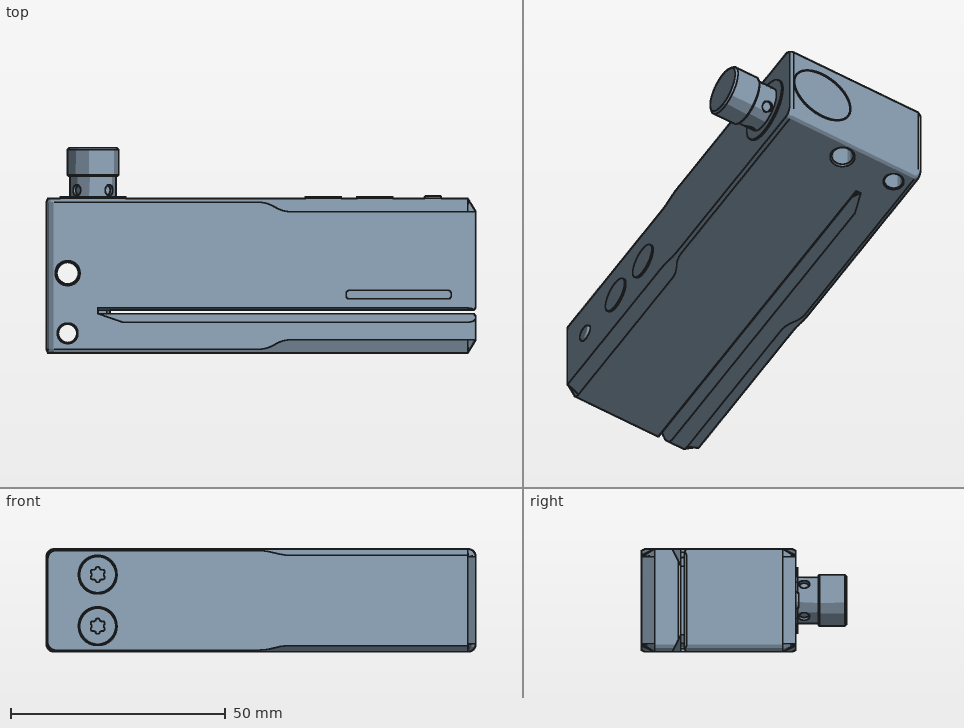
import cadquery as cq
import math


LENGTH = 100.0
WIDTH = 36.0
HEIGHT = 24.0
HALF_HEIGHT = HEIGHT / 2
LEFT_RADIUS = 2.0
TIP_RADIUS = 1.9
LEFT_BEVEL_X = 0.4
MARGIN = 2.0

NARROW_BEVEL_Y = 0.9
WIDE_BEVEL_Y = 3.1
WIDE_BEVEL_Z = 1.5
BEND_START = 49.5
BEND_END = 56.9

SLOT_Y_MIN = 9.2
SLOT_Y_MAX = 10.0
SLOT_START = 14.9
FLARE_START = 12.0
FLARE_FULL = 17.8
FRONT_FLARE_Y = 2.0
FRONT_FLARE_Z = 4.0
BACK_FLARE_Y = 0.5
BACK_FLARE_Z = 0.8
RAMP_X = 14.1
RAMP_Z = 2.0
RAMP_STEP = 0.2
SLOT_TIP_BEVEL_X = 0.5
SLOT_TIP_BEVEL_Y = 0.6

HOLE_X = 5.0
MOUNTING_HOLES = [(4.6, 4.3, 4.8), (18.6, 5.0, 5.8)]

WINDOW_START = 69.8
WINDOW_END = 94.3
WINDOW_Y = 13.6
WINDOW_WIDTH = 2.0
WINDOW_RADIUS = 0.8
WINDOW_DEPTH = 0.5

SCREW_X = 12.0
SCREW_Z = 6.0
SCREW_HEAD = 8.4
SCREW_SEAT = 9.0
SOCKET_CORE = 2.8
SOCKET_LOBE = 1.0
SOCKET_LOBE_RADIUS = 1.3
SOCKET_DEPTH = 1.5
LOBE_COUNT = 6
LOBE_START_ANGLE = 90

COVER_Y = 27.2
COVER_DIAMETER = 15.3
COVER_BORE = 15.5
COVER_GROOVE_DEPTH = 0.2

CONNECTOR_X = 10.9
CONNECTOR_TOP = 47.8
FLANGE_DIAMETER = 15.3
FLANGE_HEIGHT = 0.4
NECK_DIAMETER = 10.8
NUT_DIAMETER = 12.0
NUT_BOTTOM = 41.2
NUT_TOP_BEVEL = 0.5
NUT_BOTTOM_BEVEL = 0.3
NECK_HOLE_DIAMETER = 2.5
NECK_HOLE_DEPTH = 1.0
NECK_HOLE_Y = 37.9
NECK_HOLE_ANGLES = [45, 135, 225, 315]

BUTTON_X = [64.5, 76.5]
BUTTON_DIAMETER = 8.4
BUTTON_HEIGHT = 0.4
LAMP_X = 90.0
LAMP_DIAMETER = 4.0
LAMP_HEIGHT = 0.6
LAMP_ROUND = 0.5


def back_disc(x, diameter, height):
    """Round disc standing on the back face at mid height."""
    back = cq.Plane(origin=(x, WIDTH - MARGIN, 0), xDir=(1, 0, 0), normal=(0, 1, 0))
    return cq.Workplane(back).circle(diameter / 2).extrude(height + MARGIN)


def both_sides(upper):
    """The given body joined with its mirror image below mid height."""
    return upper.union(upper.mirror("XY"))


def edge_bevel_cutter():
    """Body that bevels the upper front edge along an S-shaped path."""
    slant = math.hypot(WIDE_BEVEL_Y, WIDE_BEVEL_Z)
    wide = WIDE_BEVEL_Y * WIDE_BEVEL_Z / slant
    narrow = wide * NARROW_BEVEL_Y / WIDE_BEVEL_Y
    middle = ((BEND_START + BEND_END) / 2, (narrow + wide) / 2)
    plane = cq.Plane(
        origin=(0, 0, HALF_HEIGHT),
        xDir=(1, 0, 0),
        normal=(0, WIDE_BEVEL_Y, WIDE_BEVEL_Z),
    )
    return (
        cq.Workplane(plane)
        .moveTo(-MARGIN, -MARGIN)
        .lineTo(-MARGIN, narrow)
        .lineTo(BEND_START, narrow)
        .tangentArcPoint(middle, relative=False)
        .tangentArcPoint((BEND_END, wide), relative=False)
        .lineTo(LENGTH + MARGIN, wide)
        .lineTo(LENGTH + MARGIN, -MARGIN)
        .close()
        .extrude(2 * WIDE_BEVEL_Y, both=True)
    )


def tip_bevel_cutter():
    """Body that bevels the front upright edge of the slotted end and its rounded corners."""
    inner_x = LENGTH - TIP_RADIUS
    round_z = HALF_HEIGHT - TIP_RADIUS
    corner = (
        cq.Workplane("XY", origin=(inner_x, -MARGIN, -HEIGHT))
        .box(TIP_RADIUS + MARGIN, WIDE_BEVEL_Y + MARGIN, 2 * HEIGHT, centered=False)
    )
    wedge_outline = [(inner_x, 0), (LENGTH, WIDE_BEVEL_Y), (inner_x, WIDE_BEVEL_Y)]
    kept = cq.Workplane("XY").polyline(wedge_outline).close().extrude(round_z, both=True)
    for z in (-round_z, round_z):
        cone = cq.Solid.makeCone(0, TIP_RADIUS, WIDE_BEVEL_Y, cq.Vector(inner_x, 0, z), cq.Vector(0, 1, 0))
        kept = kept.union(cq.Workplane(cone))
    return corner.cut(kept)


def block():
    """Outer body with all its bevels and rounds."""
    outline = [
        (0, NARROW_BEVEL_Y),
        (LEFT_BEVEL_X, 0),
        (LENGTH, 0),
        (LENGTH, WIDTH),
        (LEFT_BEVEL_X, WIDTH),
        (0, WIDTH - NARROW_BEVEL_Y),
    ]
    body = cq.Workplane("XY").polyline(outline).close().extrude(HALF_HEIGHT, both=True)
    body = body.faces(">X").edges("|Y").fillet(TIP_RADIUS)
    for front in (both_sides(edge_bevel_cutter()), tip_bevel_cutter()):
        back = front.mirror("XZ").translate((0, WIDTH, 0))
        body = body.cut(front).cut(back)
    left_end = cq.selectors.BoxSelector((-MARGIN, -MARGIN, -HEIGHT), (MARGIN, WIDTH + MARGIN, HEIGHT))
    along_x = cq.selectors.ParallelDirSelector(cq.Vector(1, 0, 0))
    upright = cq.selectors.ParallelDirSelector(cq.Vector(0, 0, 1))
    return body.edges(left_end - along_x - upright).fillet(LEFT_RADIUS)


def tetrahedron(corners):
    """Solid with four flat triangular faces between the given corners."""
    faces = []
    for skipped in corners:
        triangle = [cq.Vector(*corner) for corner in corners if corner != skipped]
        faces.append(cq.Face.makeFromWires(cq.Wire.makePolygon(triangle, close=True)))
    return cq.Workplane(cq.Solid.makeSolid(cq.Shell.makeShell(faces)))


def slot_flare():
    """Flared mouth of the slot in the upper face, with the ramp at its closed end."""
    end = LENGTH + MARGIN
    front_bottom = HALF_HEIGHT - FRONT_FLARE_Z
    back_bottom = HALF_HEIGHT - BACK_FLARE_Z
    front_edge = SLOT_Y_MIN - FRONT_FLARE_Y
    front_slope = [
        (front_edge, HALF_HEIGHT),
        (SLOT_Y_MAX, HALF_HEIGHT),
        (SLOT_Y_MAX, front_bottom),
        (SLOT_Y_MIN, front_bottom),
    ]
    back_slope = [
        (SLOT_Y_MIN, HALF_HEIGHT),
        (SLOT_Y_MAX + BACK_FLARE_Y, HALF_HEIGHT),
        (SLOT_Y_MAX, back_bottom),
        (SLOT_Y_MIN, back_bottom),
    ]

    front_plane = cq.Workplane("YZ", origin=(FLARE_FULL, 0, 0))
    front = front_plane.polyline(front_slope).close().extrude(end - FLARE_FULL)
    back_plane = cq.Workplane("YZ", origin=(FLARE_START, 0, 0))
    back = back_plane.polyline(back_slope).close().extrude(end - FLARE_START)

    run_out = tetrahedron(
        [
            (FLARE_START, SLOT_Y_MIN, HALF_HEIGHT),
            (FLARE_FULL, SLOT_Y_MIN, HALF_HEIGHT),
            (FLARE_FULL, front_edge, HALF_HEIGHT),
            (FLARE_FULL, SLOT_Y_MIN, front_bottom),
        ]
    )

    ramp = (
        cq.Workplane("XZ", origin=(0, SLOT_Y_MIN, 0))
        .moveTo(FLARE_START, HALF_HEIGHT)
        .lineTo(FLARE_START, HALF_HEIGHT - RAMP_STEP)
        .tangentArcPoint((RAMP_X, HALF_HEIGHT - RAMP_Z), relative=False)
        .lineTo(SLOT_START, front_bottom)
        .lineTo(FLARE_FULL, front_bottom)
        .lineTo(FLARE_FULL, HALF_HEIGHT)
        .close()
        .extrude(SLOT_Y_MIN - SLOT_Y_MAX)
    )
    return front.union(back).union(run_out).union(ramp)


def slot():
    length = LENGTH + MARGIN - SLOT_START
    through = (
        cq.Workplane("XY", origin=(SLOT_START, SLOT_Y_MIN, -HALF_HEIGHT))
        .box(length, SLOT_Y_MAX - SLOT_Y_MIN, HEIGHT, centered=False)
    )
    tip_outline = [
        (LENGTH, SLOT_Y_MIN - SLOT_TIP_BEVEL_Y),
        (LENGTH, SLOT_Y_MAX + SLOT_TIP_BEVEL_Y),
        (LENGTH - SLOT_TIP_BEVEL_X, SLOT_Y_MAX),
        (LENGTH - SLOT_TIP_BEVEL_X, SLOT_Y_MIN),
    ]
    tip = cq.Workplane("XY").polyline(tip_outline).close().extrude(HALF_HEIGHT, both=True)
    return both_sides(slot_flare()).union(through).union(tip)


def mounting_hole(y, bore, countersink):
    """Through hole, countersunk at 45 degrees on both faces."""
    depth = (countersink - bore) / 2
    hole = cq.Workplane("XY").center(HOLE_X, y).circle(bore / 2).extrude(HALF_HEIGHT, both=True)
    cone = cq.Solid.makeCone(
        bore / 2, countersink / 2, depth, cq.Vector(HOLE_X, y, HALF_HEIGHT - depth), cq.Vector(0, 0, 1)
    )
    return hole.union(both_sides(cq.Workplane(cone)))


def window():
    centre_x = (WINDOW_START + WINDOW_END) / 2
    return (
        cq.Workplane("XY", origin=(centre_x, WINDOW_Y, HALF_HEIGHT - WINDOW_DEPTH))
        .rect(WINDOW_END - WINDOW_START, WINDOW_WIDTH)
        .extrude(WINDOW_DEPTH)
        .edges("|Z")
        .fillet(WINDOW_RADIUS)
    )


def screw_cut(z):
    """Tapered ring around a flush screw head, and the six-lobed socket in it."""
    front = cq.Workplane("XZ", origin=(SCREW_X, 0, z))
    ring_depth = (SCREW_SEAT - SCREW_HEAD) / 2
    centre = cq.Vector(SCREW_X, 0, z)
    inward = cq.Vector(0, 1, 0)
    cone = cq.Solid.makeCone(SCREW_SEAT / 2, SCREW_HEAD / 2, ring_depth, centre, inward)
    head = cq.Solid.makeCylinder(SCREW_HEAD / 2, ring_depth, centre, inward)
    socket = front.circle(SOCKET_CORE / 2).extrude(-SOCKET_DEPTH)
    lobes = (
        front.polarArray(SOCKET_LOBE_RADIUS, LOBE_START_ANGLE, 360, LOBE_COUNT)
        .circle(SOCKET_LOBE / 2)
        .extrude(-SOCKET_DEPTH)
    )
    return cq.Workplane(cone).cut(cq.Workplane(head)).union(socket).union(lobes)


def cover_groove():
    return (
        cq.Workplane("YZ", origin=(0, COVER_Y, 0))
        .circle(COVER_BORE / 2)
        .circle(COVER_DIAMETER / 2)
        .extrude(COVER_GROOVE_DEPTH)
    )


def connector():
    flange = back_disc(CONNECTOR_X, FLANGE_DIAMETER, FLANGE_HEIGHT)
    neck = back_disc(CONNECTOR_X, NECK_DIAMETER, NUT_BOTTOM - WIDTH)
    for angle in NECK_HOLE_ANGLES:
        outward = cq.Vector(math.cos(math.radians(angle)), 0, math.sin(math.radians(angle)))
        start = cq.Vector(CONNECTOR_X, NECK_HOLE_Y, 0) + outward * (NECK_DIAMETER / 2 - NECK_HOLE_DEPTH)
        drill = cq.Solid.makeCylinder(NECK_HOLE_DIAMETER / 2, NECK_HOLE_DEPTH + MARGIN, start, outward)
        neck = neck.cut(cq.Workplane(drill))
    nut = (
        cq.Workplane(cq.Plane(origin=(CONNECTOR_X, NUT_BOTTOM, 0), xDir=(1, 0, 0), normal=(0, 1, 0)))
        .circle(NUT_DIAMETER / 2)
        .extrude(CONNECTOR_TOP - NUT_BOTTOM)
        .faces(">Y").chamfer(NUT_TOP_BEVEL)
        .faces("<Y").chamfer(NUT_BOTTOM_BEVEL)
    )
    return flange.union(neck).union(nut)


def lamp():
    return back_disc(LAMP_X, LAMP_DIAMETER, LAMP_HEIGHT).faces(">Y").fillet(LAMP_ROUND)


result = block().cut(slot())
for hole in MOUNTING_HOLES:
    result = result.cut(mounting_hole(*hole))
result = result.cut(window()).cut(cover_groove())
for side in (-1, 1):
    result = result.cut(screw_cut(side * SCREW_Z))
result = result.union(connector()).union(lamp())
for button_x in BUTTON_X:
    result = result.union(back_disc(button_x, BUTTON_DIAMETER, BUTTON_HEIGHT))